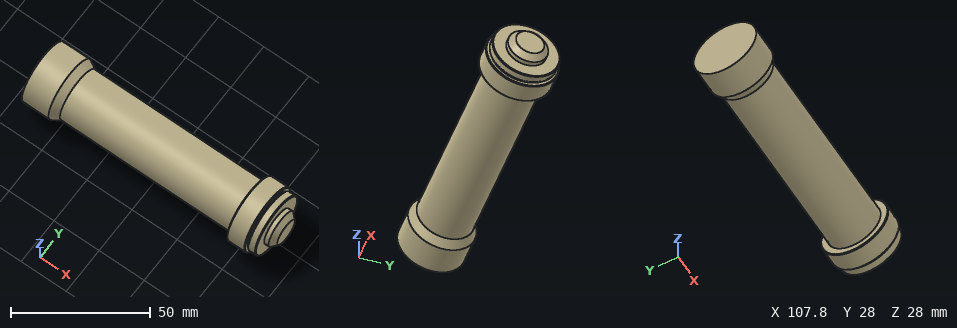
import cadquery as cq

total_length = 107.8
head_length = 11.9
head_taper_end = 15.4
flange_start = 91.6
flange_end = 99.7
ring_start = 100.4
ring_end = 103.6
tip_chamfer = 2.3

head_radius = 13.0
tube_radius = 11.0
flange_radius = 14.0
groove_radius = 12.4
ring_radius = 12.8
tip_radius = 7.7

edge_chamfer = 0.3


def cylinder(start, end, radius):
    """Solid cylinder along X between two positions."""
    return cq.Workplane("YZ", origin=(start, 0, 0)).circle(radius).extrude(end - start)


def tapered_shaft():
    """Head, conical transition and tube, running up to the flange."""
    profile = [
        (0, 0),
        (0, head_radius),
        (head_length, head_radius),
        (head_taper_end, tube_radius),
        (flange_start, tube_radius),
        (flange_start, 0),
    ]
    return cq.Workplane("XY").polyline(profile).close().revolve(360, (0, 0, 0), (1, 0, 0))


shaft = tapered_shaft()
flange = cylinder(flange_start, flange_end, flange_radius).edges().chamfer(edge_chamfer)
groove = cylinder(flange_end, ring_start, groove_radius)
ring = cylinder(ring_start, ring_end, ring_radius).edges(">X").chamfer(edge_chamfer)
tip = cylinder(ring_end, total_length, tip_radius).edges(">X").chamfer(tip_chamfer)

result = shaft.union(flange).union(groove).union(ring).union(tip)